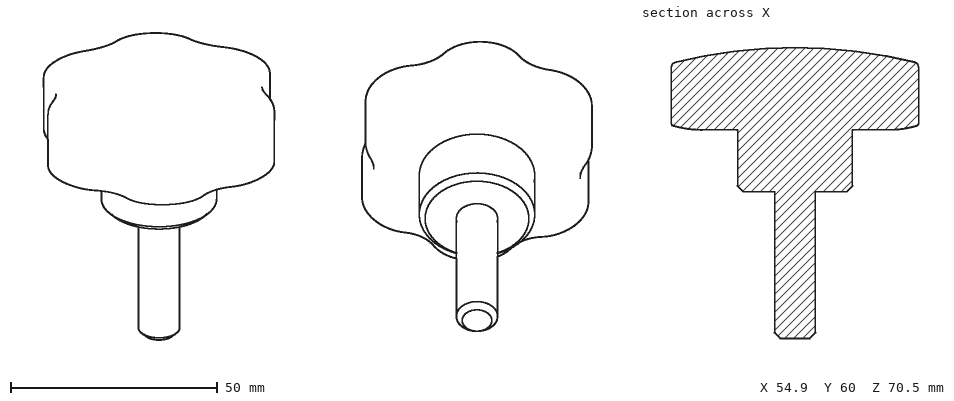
import cadquery as cq
import math

total_height = 70.5
hub_base_z = 35.5
head_base_z = 50.5

stud_diameter = 10.0
stud_chamfer = 1.4
hub_diameter = 28.0
hub_chamfer = 1.4

lobe_count = 6
head_diameter = 60.0
head_radius = head_diameter / 2
lobe_radius = 11.1
valley_radius = 8.5
lobe_pitch_radius = head_radius - lobe_radius

dome_radius = 120.0
underside_flat_radius = 22.55
underside_arc_radius = 24.25
top_fillet = 1.4
bottom_fillet = 0.7
blank_margin = 1.4
blank_radius = head_radius + blank_margin


def polar(radius, angle):
    return (radius * math.cos(angle), radius * math.sin(angle))


def lobed_prism():
    """Lobe arcs joined by tangent concave valley arcs, with lobes on +Y and -Y."""
    half_pitch = math.pi / lobe_count
    half_gap = lobe_pitch_radius * math.sin(half_pitch)
    center_distance = lobe_radius + valley_radius
    valley_center_radius = lobe_pitch_radius * math.cos(half_pitch) + math.sqrt(
        center_distance**2 - half_gap**2
    )
    valley_bottom_radius = valley_center_radius - valley_radius

    tangent_offset = half_gap * valley_radius / center_distance
    tangent_along = valley_center_radius - math.sqrt(valley_radius**2 - tangent_offset**2)
    tangent_radius = math.hypot(tangent_along, tangent_offset)
    tangent_angle = math.atan2(tangent_offset, tangent_along)

    outline = cq.Workplane("XY", origin=(0, 0, head_base_z))
    outline = outline.moveTo(*polar(tangent_radius, -tangent_angle))
    for index in range(lobe_count):
        valley_angle = 2 * half_pitch * index
        lobe_angle = valley_angle + half_pitch
        next_valley_angle = valley_angle + 2 * half_pitch
        outline = outline.threePointArc(
            polar(valley_bottom_radius, valley_angle),
            polar(tangent_radius, valley_angle + tangent_angle),
        )
        outline = outline.threePointArc(
            polar(head_radius, lobe_angle),
            polar(tangent_radius, next_valley_angle - tangent_angle),
        )
    return outline.close().extrude(total_height - head_base_z)


def turned_blank():
    """Revolved blank with a domed top and an underside curving up to the rim."""

    def dome_z(radius):
        return total_height - dome_radius + math.sqrt(dome_radius**2 - radius**2)

    def underside_z(radius):
        run = radius - underside_flat_radius
        return head_base_z + underside_arc_radius - math.sqrt(underside_arc_radius**2 - run**2)

    underside_mid_radius = (underside_flat_radius + blank_radius) / 2
    return (
        cq.Workplane("YZ")
        .moveTo(0, head_base_z)
        .lineTo(underside_flat_radius, head_base_z)
        .threePointArc(
            (underside_mid_radius, underside_z(underside_mid_radius)),
            (blank_radius, underside_z(blank_radius)),
        )
        .lineTo(blank_radius, dome_z(blank_radius))
        .threePointArc((blank_radius / 2, dome_z(blank_radius / 2)), (0, total_height))
        .close()
        .revolve(360, (0, 0, 0), (0, 1, 0))
    )


def rim_edges(head, low_z, high_z):
    """Edges along the lobed rim whose centers lie between two heights."""
    box = cq.selectors.BoxSelector(
        (-blank_radius, -blank_radius, low_z),
        (blank_radius, blank_radius, high_z),
    )
    return head.faces("%CYLINDER").edges("not |Z").edges(box)


def lobed_head():
    head = lobed_prism().intersect(turned_blank())
    rim_mid_z = (head_base_z + total_height) / 2
    head = rim_edges(head, rim_mid_z, total_height).fillet(top_fillet)
    return rim_edges(head, head_base_z, rim_mid_z).fillet(bottom_fillet)


def hub():
    return (
        cq.Workplane("XY", origin=(0, 0, hub_base_z))
        .circle(hub_diameter / 2)
        .extrude(head_base_z - hub_base_z)
        .faces("<Z")
        .chamfer(hub_chamfer)
    )


def stud():
    return (
        cq.Workplane("XY")
        .circle(stud_diameter / 2)
        .extrude(hub_base_z)
        .faces("<Z")
        .chamfer(stud_chamfer)
    )


result = lobed_head().union(hub()).union(stud())